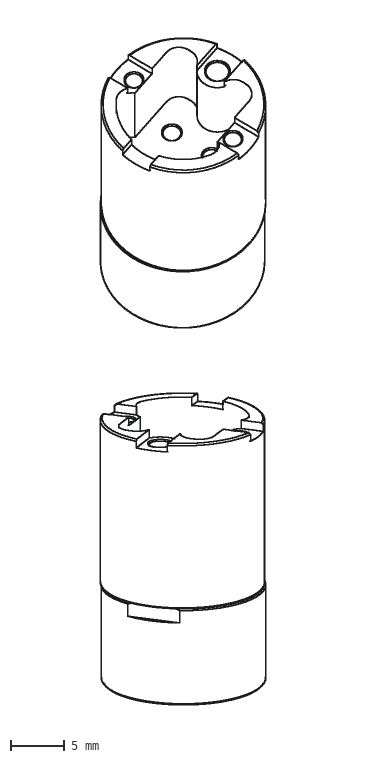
import cadquery as cq
import math

length = 25.9
diameter = 15.5
radius = diameter / 2
seam_z = 9.53
lower_shift_x = -0.1
end_chamfer = 0.18
seam_chamfer = 0.13

key_diameter = 2.15
key_y = 5.45
lobe_radius = 1.92

socket_depth = 8.1
socket_radius = 6.35
wall_x = 4.8
corner_radius = 2.95 / 2

foot_x = 4.17
foot_y = -math.sqrt((socket_radius - corner_radius) ** 2 - foot_x**2)
ramp_start_angle = 58

shoulder_flat = 0.3
shoulder_outer_x = wall_x - corner_radius
shoulder_inner_x = shoulder_outer_x - shoulder_flat
shoulder_y = key_y - math.sqrt((lobe_radius + corner_radius) ** 2 - shoulder_inner_x**2)

slot_width = 3.15
slot_depth = 0.83

hole_depth = 5.18
hole_chamfer = 0.13
side_diameter = 1.6
side_x = 5.75
pin_diameter = 1.68
pin_circle_radius = 2.67
pin_angles = (30, 150, 270)

flat_height = 1.35
flat_depth = 0.47

socket_floor_z = length - socket_depth
slot_floor_z = length - slot_depth


def cylinder(x, y, base_z, height, cylinder_radius):
    base = cq.Workplane("XY").workplane(offset=base_z).center(x, y)
    return base.circle(cylinder_radius).extrude(height)


def block(x_limits, y_limits, base_z, height):
    size = (x_limits[1] - x_limits[0], y_limits[1] - y_limits[0], height)
    return cq.Workplane("XY").box(*size, centered=False).translate((x_limits[0], y_limits[0], base_z))


def make_body():
    lower = cylinder(lower_shift_x, 0, 0, seam_z, radius)
    lower = lower.faces("<Z").chamfer(end_chamfer).faces(">Z").chamfer(seam_chamfer)
    upper = cylinder(0, 0, seam_z, length - seam_z, radius)
    upper = upper.faces(">Z").chamfer(end_chamfer).faces("<Z").chamfer(seam_chamfer)
    return lower.union(upper)


def point_at(center, circle_radius, angle):
    x = center[0] + circle_radius * math.cos(math.radians(angle))
    y = center[1] + circle_radius * math.sin(math.radians(angle))
    return (x, y)


def add_arc(outline, center, arc_radius, start_angle, end_angle):
    middle = point_at(center, arc_radius, (start_angle + end_angle) / 2)
    end = point_at(center, arc_radius, end_angle)
    return outline.threePointArc(middle, end)


def make_socket():
    foot = (foot_x, foot_y)
    shoulder_outer = (shoulder_outer_x, shoulder_y)
    shoulder_inner = (shoulder_inner_x, shoulder_y)
    lobe = (0, key_y)
    foot_angle = math.degrees(math.atan2(foot_y, foot_x))
    lobe_angle = math.degrees(math.atan2(shoulder_y - key_y, shoulder_inner_x))

    ramp_x, ramp_y = point_at(foot, corner_radius, ramp_start_angle)
    ramp_top_y = ramp_y + (ramp_x - wall_x) / math.tan(math.radians(ramp_start_angle))

    outline = cq.Workplane("XY").workplane(offset=socket_floor_z).moveTo(0, -socket_radius)
    outline = add_arc(outline, (0, 0), socket_radius, -90, foot_angle)
    outline = add_arc(outline, foot, corner_radius, foot_angle, ramp_start_angle)
    outline = outline.lineTo(wall_x, ramp_top_y).lineTo(wall_x, shoulder_y)
    outline = add_arc(outline, shoulder_outer, corner_radius, 0, 90)
    outline = outline.lineTo(shoulder_inner_x, shoulder_y + corner_radius)
    outline = add_arc(outline, shoulder_inner, corner_radius, 90, 180 + lobe_angle)
    outline = add_arc(outline, lobe, lobe_radius, lobe_angle, -90)
    half = outline.close().extrude(socket_depth)
    return half.union(half.mirror("YZ"))


def make_slots():
    across = (-diameter, diameter)
    width = (-slot_width / 2, slot_width / 2)
    slot_x = block(across, width, slot_floor_z, slot_depth)
    slot_y = block(width, across, slot_floor_z, slot_depth)
    return slot_x.union(slot_y)


def make_hole(x, y, mouth_z, hole_diameter):
    hole_radius = hole_diameter / 2
    profile = [
        (0, -hole_depth),
        (hole_radius, -hole_depth),
        (hole_radius, -hole_chamfer),
        (hole_radius + hole_chamfer, 0),
        (0, 0),
    ]
    hole = cq.Workplane("XZ").polyline(profile).close().revolve(360, (0, 0), (0, 1))
    return hole.translate((x, y, mouth_z))


def make_flat():
    inner_y = radius - flat_depth
    return block((-diameter, diameter), (inner_y, diameter), seam_z - flat_height, flat_height)


result = make_body().cut(make_flat()).cut(make_socket()).cut(make_slots())
result = result.cut(make_hole(0, key_y, slot_floor_z, key_diameter))
for side in (-1, 1):
    result = result.cut(make_hole(side * side_x, 0, slot_floor_z, side_diameter))
for angle in pin_angles:
    pin_x, pin_y = point_at((0, 0), pin_circle_radius, angle)
    result = result.cut(make_hole(pin_x, pin_y, socket_floor_z, pin_diameter))